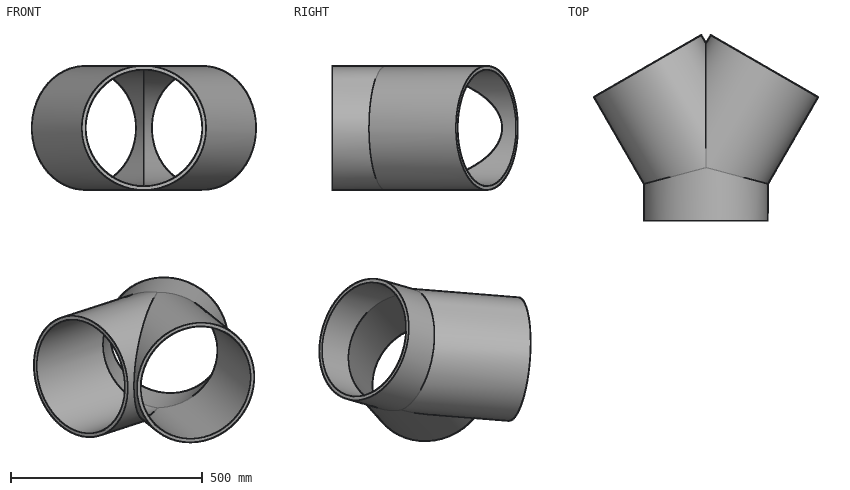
import cadquery as cq
import math

OUTER_DIAMETER = 323.85
INNER_DIAMETER = 303.23

STEM_LENGTH = 139.7
BRANCH_LENGTH = 304.8

BRANCH_ANGLE = 30.0


def leg(diameter, length, angle):
    """Cylinder from the origin, lying in the XY plane at an angle from +Y towards +X."""
    turn = math.radians(angle)
    direction = cq.Vector(math.sin(turn), math.cos(turn), 0)
    return cq.Workplane(cq.Solid.makeCylinder(diameter / 2, length, cq.Vector(), direction))


def wye(diameter):
    """Stem along -Y joined to two branches spread evenly about +Y."""
    body = leg(diameter, STEM_LENGTH, 180)
    for angle in (-BRANCH_ANGLE, BRANCH_ANGLE):
        body = body.union(leg(diameter, BRANCH_LENGTH, angle))
    return body


result = wye(OUTER_DIAMETER).cut(wye(INNER_DIAMETER))